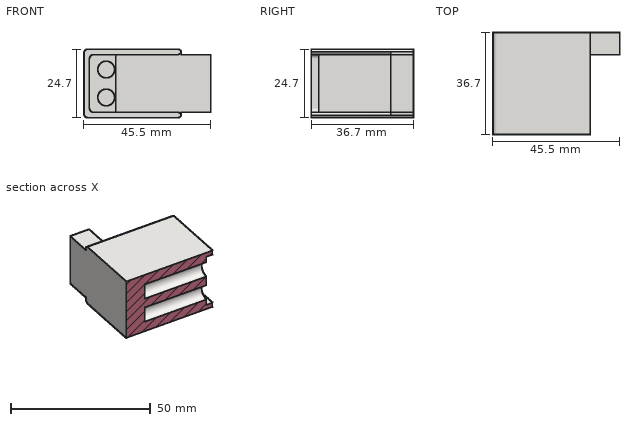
import cadquery as cq
import math

total_length = 45.5
depth = 36.7
height = 24.7

channel_length = 34.97
wall = 2.0
corner_radius = 1.5
inner_height = height - 2 * wall

bar_depth = 8.1
bar_front = depth - bar_depth

post_right = 11.5
post_front = 2.7
bore_diameter = 6.0
bore_x = 8.0
bore_spacing = 10.0


def box(x_min, x_max, y_min, y_max, box_height):
    """Box centred on Z = 0, given by its X and Y limits."""
    return cq.Workplane("XY").box(
        x_max - x_min, y_max - y_min, box_height, centered=(False, False, True)
    ).translate((x_min, y_min, 0))


def make_lip_end(middle_z):
    """Pointed lip end: two arcs of the corner radius meet at mid-thickness."""
    half_wall = wall / 2
    tip_angle = math.acos((corner_radius - half_wall) / corner_radius)
    arc_start = channel_length - corner_radius * math.sin(tip_angle)
    arc_middle_x = arc_start + corner_radius * math.sin(tip_angle / 2)
    arc_middle_z = half_wall - corner_radius * (1 - math.cos(tip_angle / 2))
    overlap_start = channel_length - 2 * corner_radius
    return (
        cq.Workplane("XZ", origin=(0, 0, middle_z))
        .moveTo(overlap_start, -half_wall)
        .lineTo(arc_start, -half_wall)
        .threePointArc((arc_middle_x, -arc_middle_z), (channel_length, 0))
        .threePointArc((arc_middle_x, arc_middle_z), (arc_start, half_wall))
        .lineTo(overlap_start, half_wall)
        .close()
        .extrude(-depth)
    )


def make_channel():
    """Rounded U profile with a pointed end on each lip."""
    lip_start = channel_length - 1.5 * corner_radius
    outer = box(0, lip_start, 0, depth, height).edges("|Y and <X").fillet(corner_radius)
    inner = box(wall, total_length, 0, depth, inner_height).edges("|Y and <X").fillet(corner_radius)
    channel = outer.cut(inner)
    lip_middle = (height - wall) / 2
    for middle_z in (-lip_middle, lip_middle):
        channel = channel.union(make_lip_end(middle_z))
    return channel


def make_rear_bar():
    """Bar with fillers that reach the tips of both lips."""
    bar = box(wall / 2, total_length, bar_front, depth, inner_height)
    filler_start = channel_length - corner_radius
    filler = box(filler_start, channel_length, bar_front, depth, height - wall)
    return bar.union(filler)


def make_post():
    return box(wall / 2, post_right, post_front, depth, inner_height)


def make_bores():
    """Two bores from the front of the post to the front of the rear bar."""
    return (
        cq.Workplane("XZ", origin=(bore_x, post_front, 0))
        .pushPoints([(0, -bore_spacing / 2), (0, bore_spacing / 2)])
        .circle(bore_diameter / 2)
        .extrude(post_front - bar_front)
    )


result = make_channel().union(make_rear_bar()).union(make_post()).cut(make_bores())